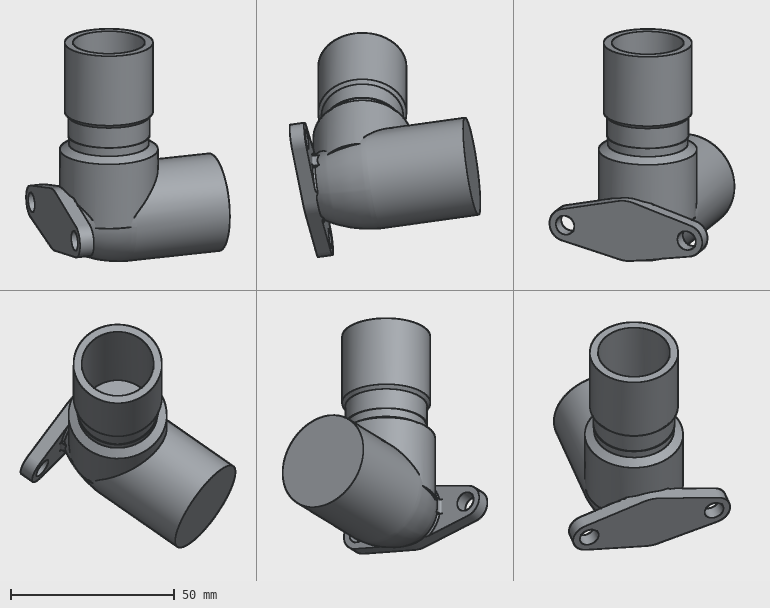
import cadquery as cq
import math

body_radius = 30.0 / 2
overall_height = 70.0
overall_depth = 52.0

top_z = overall_height - body_radius
shoulder_z = 20.7
neck_base_z = 22.4
neck_step_z = 25.1
neck_top_z = 31.6
spigot_base_z = 32.7
lower_neck_radius = 24.5 / 2
upper_neck_radius = 25.0 / 2
spigot_radius = 27.0 / 2
bore_radius = 22.0 / 2

flange_front_y = -18.05
flange_thickness = 4.5
flange_back_y = flange_front_y + flange_thickness
flange_center_radius = 9.65
lug_spacing = 40.0
lug_z = -0.6
lug_radius = 5.145
lug_hole_diameter = 6.0

pipe_back_y = flange_front_y + overall_depth
dome_start_y = 3.9
dome_end_radius = 9.8
dome_mid_y = (dome_start_y + flange_back_y) / 2
dome_mid_radius = 13.65

rib_width = 21.4
rib_height = 4.75
rib_length = 4.9
foot_fillet = 0.7

ring_height = 0.9
ring_outer_radius = dome_end_radius + ring_height
ring_inner_radius = 10.2
ring_mid_radius = 10.35
ring_mid_y = flange_back_y + 0.3


def make_upright_pipe():
    """Stepped pipe, revolved about Z; its profile is (radius, z)."""
    return (
        cq.Workplane("XZ")
        .moveTo(0, 0)
        .lineTo(body_radius, 0)
        .lineTo(body_radius, shoulder_z)
        .lineTo(lower_neck_radius, neck_base_z)
        .lineTo(lower_neck_radius, neck_step_z)
        .lineTo(upper_neck_radius, neck_step_z)
        .lineTo(upper_neck_radius, neck_top_z)
        .lineTo(spigot_radius, spigot_base_z)
        .lineTo(spigot_radius, top_z)
        .lineTo(0, top_z)
        .close()
        .revolve(360, (0, 0), (0, 1))
    )


def make_horizontal_pipe():
    """Pipe with a domed front, revolved about Y; its profile is (radius, y)."""
    return (
        cq.Workplane("XY")
        .moveTo(0, pipe_back_y)
        .lineTo(body_radius, pipe_back_y)
        .lineTo(body_radius, dome_start_y)
        .threePointArc((dome_mid_radius, dome_mid_y), (dome_end_radius, flange_back_y))
        .lineTo(0, flange_back_y)
        .close()
        .revolve(360, (0, 0), (0, 1))
    )


def extrude_flange_outline(back_y, thickness):
    """Round center and two lugs, joined by straight edges tangent to both.

    The plate reaches from back_y toward -Y.
    """
    lug_x = lug_spacing / 2
    center_distance = math.hypot(lug_x, lug_z)
    taper = math.asin((flange_center_radius - lug_radius) / center_distance)
    tilt = math.atan2(lug_z, lug_x)
    upper = math.pi / 2 - taper + tilt
    lower = -math.pi / 2 + taper + tilt

    def center_point(angle, side):
        x = flange_center_radius * math.cos(angle)
        return (side * x, flange_center_radius * math.sin(angle))

    def lug_point(angle, side):
        x = lug_x + lug_radius * math.cos(angle)
        return (side * x, lug_z + lug_radius * math.sin(angle))

    return (
        cq.Workplane("XZ", origin=(0, back_y, 0))
        .moveTo(*center_point(upper, 1))
        .lineTo(*lug_point(upper, 1))
        .threePointArc(lug_point(0, 1), lug_point(lower, 1))
        .lineTo(*center_point(lower, 1))
        .threePointArc((0, -flange_center_radius), center_point(lower, -1))
        .lineTo(*lug_point(lower, -1))
        .threePointArc(lug_point(0, -1), lug_point(upper, -1))
        .lineTo(*center_point(upper, -1))
        .threePointArc((0, flange_center_radius), center_point(upper, 1))
        .close()
        .extrude(thickness)
    )


def make_flange():
    """Flange plate with a through hole in each lug."""
    lug_x = lug_spacing / 2
    return (
        extrude_flange_outline(flange_back_y, flange_thickness)
        .faces("<Y")
        .workplane(origin=(0, flange_front_y, 0))
        .pushPoints([(-lug_x, lug_z), (lug_x, lug_z)])
        .circle(lug_hole_diameter / 2)
        .cutThruAll()
    )


def make_ring():
    """Concave ring around the dome's end, trimmed to the flange outline."""
    ring_top_y = flange_back_y + ring_height
    ring = (
        cq.Workplane("XY")
        .moveTo(0, flange_back_y)
        .lineTo(ring_outer_radius, flange_back_y)
        .threePointArc((ring_mid_radius, ring_mid_y), (ring_inner_radius, ring_top_y))
        .lineTo(0, ring_top_y)
        .close()
        .revolve(360, (0, 0), (0, 1))
    )
    return ring.intersect(extrude_flange_outline(ring_top_y, ring_height))


def make_rib():
    """Flat bar across the dome, flared by concave fillets where it meets the flange."""
    half_width = rib_width / 2
    foot_x = half_width + foot_fillet
    foot_y = flange_back_y + foot_fillet
    rib_end_y = flange_back_y + rib_length
    sweep = foot_fillet * (1 - math.sqrt(0.5))
    return (
        cq.Workplane("XY", origin=(0, 0, -rib_height / 2))
        .moveTo(-foot_x, flange_back_y)
        .lineTo(foot_x, flange_back_y)
        .threePointArc((half_width + sweep, flange_back_y + sweep), (half_width, foot_y))
        .lineTo(half_width, rib_end_y)
        .lineTo(-half_width, rib_end_y)
        .lineTo(-half_width, foot_y)
        .threePointArc((-half_width - sweep, flange_back_y + sweep), (-foot_x, flange_back_y))
        .close()
        .extrude(rib_height)
    )


bore = cq.Workplane("XY", origin=(0, 0, neck_base_z)).circle(bore_radius).extrude(top_z - neck_base_z)

result = (
    make_upright_pipe()
    .union(make_horizontal_pipe())
    .union(make_flange())
    .union(make_ring())
    .union(make_rib())
    .cut(bore)
)